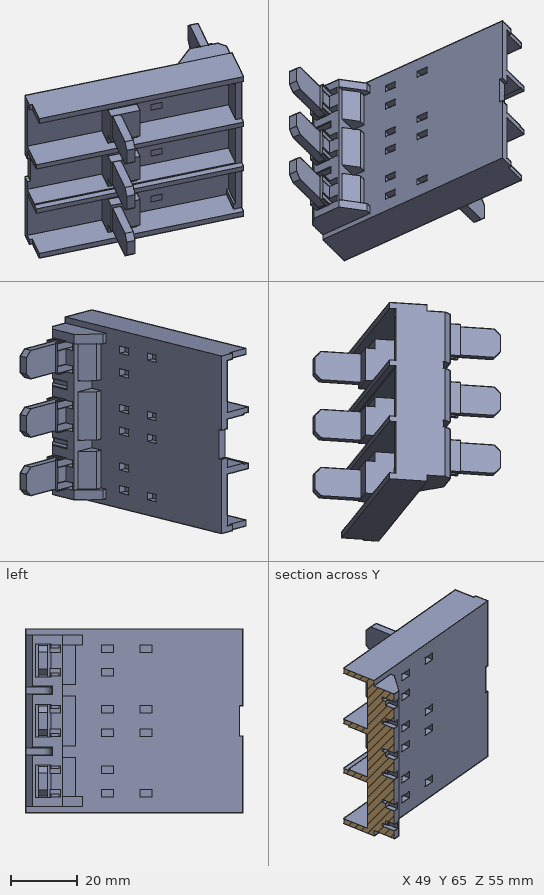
import cadquery as cq

length = 65.0
height = 55.0
depth = 11.5
top = height / 2

plate_thickness = 2.55
wall = 1.9
inner_top = top - wall
wall_step_x = 4.6
wall_setback = 0.9
end_wall_thickness = 1.95
end_wall_x = 9.6
corner_post_z = 23.5
corner_post_size_y = 2.6
notch_height = 9.0
notch_depth = 1.0

rib_inner_z = 7.5
rib_tip_z = 7.85
rib_outer_z = 9.55
rib_shoulder_x = 9.6

terminal_y = (23.4, 32.5)
terminal_x = 8.5
terminal_margin = 3.0

head_x = 7.6
head_y = 53.95
head_chamfer = 2.1
cheek_thickness = 3.0
cheek_y = 48.0
cheek_flat = 1.35
gusset_x = 6.0
gusset_flat = 1.95
gusset_y = 50.05
gusset_gap_z = (7.5, 10.9)

slot_z = (7.85, 10.4)
slot_y = 56.9
slot_depth = 2.6
slot_radius = 2.35
slot_bevel = 0.23

pole_pitch = 18.1
blade_height = 8.85
blade_thickness = 2.6
blade_chamfer = 1.9
front_blade_y = 59.8
front_blade_tip_x = -23.4
back_blade_y = 25.2
back_blade_tip_x = 25.6
collar_y = (57.4, 62.1)
collar_height = 9.75
collar_x = 10.9
collar_web = 0.4

window_width = 3.6
window_height = 2.2
window_depth = 2.3
window_columns_y = (40.55, 29.05)
window_offset_z = 3.5
head_window_y = 56.15
head_window_width = 3.1
head_window_depth = 3.25
recess_width = 2.35
recess_height = 0.85
recess_depth = 1.3

poles_z = (-pole_pitch, 0, pole_pitch)


def box(x, y, z):
    """Box filling the given (low, high) ranges along X, Y and Z."""
    size = (x[1] - x[0], y[1] - y[0], z[1] - z[0])
    return cq.Workplane("XY").box(*size, centered=False).translate((x[0], y[0], z[0]))


def centred(middle, size):
    """Range of the given size around a middle value."""
    return (middle - size / 2, middle + size / 2)


def prism(points, z):
    """Prism with an XY outline filling the Z range."""
    return cq.Workplane("XY").workplane(offset=z[0]).polyline(points).close().extrude(z[1] - z[0])


def mirrored(half):
    """A solid joined with its mirror image across the middle pole."""
    return half.union(half.mirror("XY"))


def make_tray():
    full_y = (0, length)
    tray = box((0, plate_thickness), full_y, (-top, top))
    tray = tray.cut(box((0, plate_thickness), (0, notch_depth), centred(0, notch_height)))
    side = box((0, wall_step_x), full_y, (inner_top, top))
    side = side.union(box((0, depth), (wall_setback, length), (inner_top, top)))
    rib = box((0, rib_shoulder_x), full_y, (rib_inner_z, rib_outer_z))
    rib = rib.union(box((0, depth), full_y, (rib_tip_z, rib_outer_z)))
    end = box((0, end_wall_x), (length - end_wall_thickness, length), (-inner_top, inner_top))
    post = box((0, end_wall_x), (length - corner_post_size_y, length), (corner_post_z, inner_top))
    return tray.union(mirrored(side)).union(mirrored(rib)).union(end).union(mirrored(post))


def make_terminal(low_z, high_z):
    """Block filling one cell of the tray, with a raised middle that holds the back blade."""
    base = box((0, terminal_x), terminal_y, (low_z, high_z))
    return base.union(box((0, depth), terminal_y, (low_z + terminal_margin, high_z - terminal_margin)))


def make_slot():
    """Cutter for an open-ended slot with a bevelled mouth and a rounded floor at its closed end."""
    width = slot_z[1] - slot_z[0]
    slot_range = centred(sum(slot_z) / 2, width - 2 * slot_bevel)
    slot = box((-head_x, slot_depth - head_x), (slot_y + slot_bevel, length), slot_range)
    slot = slot.edges("|Z and >X and <Y").fillet(slot_radius)
    mouth = cq.Workplane("YZ", origin=(-head_x, (slot_y + length) / 2, sum(slot_z) / 2))
    mouth = mouth.rect(length - slot_y, width).extrude(slot_bevel, taper=45)
    return slot.union(mouth)


def make_head():
    body = prism(
        [
            (0, head_y),
            (-head_x, head_y),
            (-head_x, length - head_chamfer),
            (head_chamfer - head_x, length),
            (0, length),
        ],
        (-inner_top, inner_top),
    )
    cheek_outline = [(0, head_y), (-head_x, head_y), (-cheek_flat, cheek_y), (0, cheek_y)]
    cheek = prism(cheek_outline, (inner_top - cheek_thickness, inner_top))
    gusset_outline = [(0, head_y), (-gusset_x, head_y), (-gusset_flat, gusset_y), (0, gusset_y)]
    outer_gusset = prism(gusset_outline, (gusset_gap_z[1], inner_top - cheek_thickness))
    middle_gusset = prism(gusset_outline, (-gusset_gap_z[0], gusset_gap_z[0]))
    head = body.union(mirrored(cheek)).union(mirrored(outer_gusset)).union(middle_gusset)
    return head.cut(mirrored(make_slot()))


def make_blade(root_x, tip_x, y, z):
    """Flat blade with chamfered corners at its tip."""
    blade = box(sorted((root_x, tip_x)), centred(y, blade_thickness), centred(z, blade_height))
    tip = "<X" if tip_x < root_x else ">X"
    return blade.faces(tip).edges("|Y").chamfer(blade_chamfer)


def make_collar(z):
    """Two cheeks beside the front blade, joined by a thin web on the head."""
    height_range = centred(z, collar_height)
    collar = box((-collar_x, -head_x), collar_y, height_range)
    gap_x = (-collar_x, -head_x - collar_web)
    return collar.cut(box(gap_x, centred(front_blade_y, blade_thickness), height_range))


def make_head_window(z, outward):
    """Window beside a blade that also grazes the collar, with a small recess at its outer edge."""
    floor_x = head_window_depth - head_x
    window_z = centred(z, window_height)
    window = box((-collar_x, floor_x), centred(head_window_y, head_window_width), window_z)
    recess_z = z + outward * (window_height - recess_height) / 2
    recess_x = (floor_x, floor_x + recess_depth)
    recess = box(recess_x, centred(head_window_y, recess_width), centred(recess_z, recess_height))
    return window.union(recess)


def make_plate_window(y, z):
    return box((0, window_depth), centred(y, window_width), centred(z, window_height))


result = make_tray().union(make_head())
result = result.union(make_terminal(-rib_inner_z, rib_inner_z))
result = result.union(mirrored(make_terminal(rib_outer_z, inner_top)))

for pole_z in poles_z:
    result = result.union(make_collar(pole_z))
    for side in (-1, 1):
        window_z = pole_z + side * window_offset_z
        result = result.cut(make_head_window(window_z, side))
        result = result.cut(make_plate_window(window_columns_y[0], window_z))
        if side * pole_z >= 0:
            result = result.cut(make_plate_window(window_columns_y[1], window_z))
    result = result.union(make_blade(-head_x, front_blade_tip_x, front_blade_y, pole_z))
    result = result.union(make_blade(terminal_x, back_blade_tip_x, back_blade_y, pole_z))